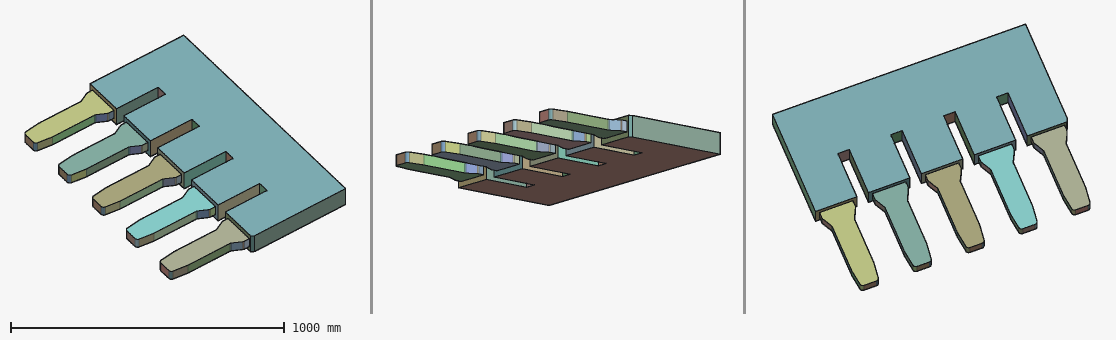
import cadquery as cq


plate_width = 996.0
plate_length = 426.0
plate_thickness = 82.0
corner_width = 8.0
corner_length = 12.0

tine_count = 5
pitch = 208.0
slot_width = 45.0
slot_depth = 189.0

tine_thickness = 41.0
tine_length = 336.0
shoulder_width = 131.0
shoulder_end = 26.0
shank_width = 88.0
shank_start = 69.0
taper_start = 263.0
tip_width = 70.0
bend_radius = 12.0
tip_radius = 12.0


def centred_row(count):
    """X positions of evenly pitched items centred on the plate."""
    return [(index - (count - 1) / 2) * pitch for index in range(count)]


def make_plate():
    """Plate with its front edge on Y = 0 and its mid-plane on Z = 0."""
    plate = cq.Workplane("XY").box(
        plate_width, plate_length, plate_thickness, centered=(True, False, True)
    )
    corner = (
        cq.Workplane("XY")
        .polyline([
            (plate_width / 2, 0),
            (plate_width / 2, corner_length),
            (plate_width / 2 - corner_width, 0),
        ])
        .close()
        .extrude(plate_thickness / 2, both=True)
    )
    plate = plate.cut(corner)
    for x in centred_row(tine_count - 1):
        slot = cq.Workplane("XY").box(
            slot_width, slot_depth, plate_thickness, centered=(True, False, True)
        )
        plate = plate.cut(slot.translate((x, 0, 0)))
    return plate


def vertical_edges_at(tine, distance):
    """Pair of vertical edges at a given distance along the tine."""
    margin = 1.0
    half_width = shoulder_width / 2 + margin
    half_height = tine_thickness / 2 + margin
    selector = cq.selectors.BoxSelector(
        (-half_width, -distance - margin, -half_height),
        (half_width, -distance + margin, half_height),
    )
    return tine.edges("|Z").edges(selector)


def make_tine():
    """Tine pointing along -Y: wide shoulder, straight shank, tapered rounded tip."""
    right_side = [
        (shoulder_width / 2, 0),
        (shoulder_width / 2, -shoulder_end),
        (shank_width / 2, -shank_start),
        (shank_width / 2, -taper_start),
        (tip_width / 2, -tine_length),
    ]
    left_side = [(-x, y) for x, y in reversed(right_side)]
    tine = (
        cq.Workplane("XY")
        .polyline(right_side + left_side)
        .close()
        .extrude(tine_thickness / 2, both=True)
    )
    for bend in (shoulder_end, shank_start):
        tine = vertical_edges_at(tine, bend).fillet(bend_radius)
    return vertical_edges_at(tine, tine_length).fillet(tip_radius)


result = make_plate()
tine = make_tine()
for tine_x in centred_row(tine_count):
    result = result.union(tine.translate((tine_x, 0, 0)))